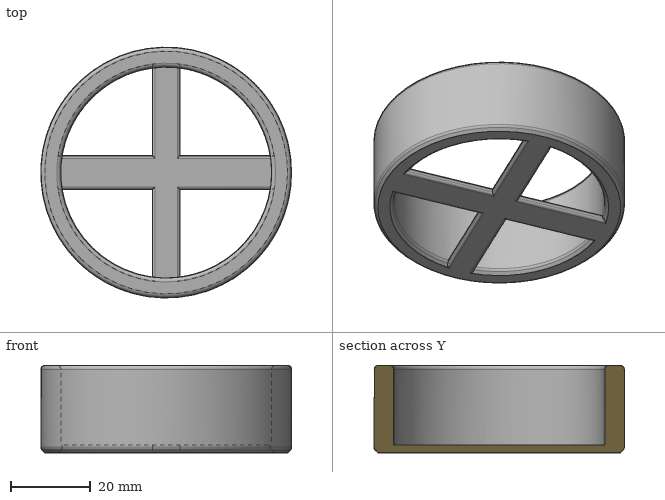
import cadquery as cq

outer_diameter = 63.0
bore_diameter = 53.0
height = 22.0
edge_radius = 1.0
base_chamfer = 1.0

bar_x_width = 8.55
bar_y_width = 7.0
bar_thickness = 2.0
bar_edge_radius = 0.7

outer_radius = outer_diameter / 2
bore_radius = bore_diameter / 2
bar_length = (outer_diameter + bore_diameter) / 2


def make_ring():
    """Tube with rounded top edges and bevelled bottom edges, the bevels blended into the walls."""
    tube = cq.Workplane("XY").circle(outer_radius).circle(bore_radius).extrude(height)
    tube = tube.faces("<Z").edges().chamfer(base_chamfer)
    bevel_top_edges = cq.selectors.BoxSelector(
        (-outer_diameter, -outer_diameter, base_chamfer / 2),
        (outer_diameter, outer_diameter, base_chamfer * 1.5),
        boundingbox=True,
    )
    tube = tube.edges(bevel_top_edges).fillet(edge_radius)
    return tube.faces(">Z").edges().fillet(edge_radius)


def make_cross():
    """Two crossing bars with rounded upper and lower edges, ending inside the ring wall."""
    bar_x = cq.Workplane("XY").rect(bar_length, bar_x_width).extrude(bar_thickness)
    bar_y = cq.Workplane("XY").rect(bar_y_width, bar_length).extrude(bar_thickness)
    return bar_x.union(bar_y).edges("#Z").fillet(bar_edge_radius)


result = make_ring().union(make_cross())